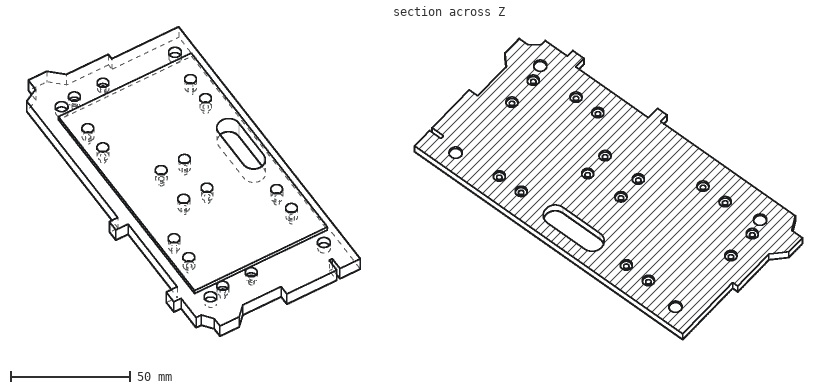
import cadquery as cq

length = 154.3
width = 79.3
plate_thickness = 7.0

pad_height = 2.0
pad_left, pad_right = 24.7, 134.0
pad_front, pad_back = 10.3, 75.6
pad_top = plate_thickness + pad_height

front_edge = 4.2
recess_edge = 6.0
left_tab_start, left_tab_end = 82.4, 87.7
right_tab_start, right_tab_end = 127.0, 133.2
right_tab_front = 0.6

left_upper_edge = 8.5
left_lower_edge = 5.7
left_step_y = 46.5
left_slope_y = 26.0
left_ear_front = 10.6
left_ear_inner = 5.9
left_front_corner = 9.3

ear_back = 19.8
right_recess_edge = 149.7
right_recess_front, right_recess_back = 24.4, 43.2
right_ear_front = 10.3
right_ear_inner = right_recess_edge
right_front_corner = 145.2
right_slope_front = 6.8

notch_depth = 6.2
notch_front, notch_back = 67.8, 69.3

slot_length = 30.0
slot_width = 9.9
slot_center = (77.0, 68.0)

screw_diameter = 2.3
counterbore_diameter = 5.0
screw_floor = 3.4
pad_corner_columns = (36.4, 48.5, 105.5, 117.5)
pad_corner_rows = (17.6, 68.0)
pad_middle_columns = (71.6, 89.7)
pad_middle_rows = (32.1, 43.5)
side_columns = (17.6, 136.6)
side_rows = (22.5, 36.5)

blind_diameter = 5.4
blind_floor = 3.4
blind_columns = (19.5, 138.9)
blind_rows = (15.1, 70.8)


def grid(columns, rows):
    """Every combination of a column position and a row position."""
    return [(x, y) for x in columns for y in rows]


def round_cutter(points, diameter, bottom, top):
    """Upright cylinders at the given points between two heights."""
    return (
        cq.Workplane("XY", origin=(0, 0, bottom))
        .pushPoints(points)
        .circle(diameter / 2)
        .extrude(top - bottom)
    )


def make_plate():
    """Flat plate with its stepped outline, tabs and corner ears."""
    outline = [
        (left_upper_edge, width),
        (left_upper_edge, left_step_y),
        (left_lower_edge, left_step_y),
        (left_lower_edge, left_slope_y),
        (0, ear_back),
        (0, left_ear_front),
        (left_ear_inner, left_ear_front),
        (left_front_corner, front_edge),
        (left_tab_start, front_edge),
        (left_tab_start, 0),
        (left_tab_end, 0),
        (left_tab_end, recess_edge),
        (right_tab_start, recess_edge),
        (right_tab_start, right_tab_front),
        (right_tab_end, right_tab_front),
        (right_tab_end, front_edge),
        (right_front_corner, front_edge),
        (right_front_corner, right_slope_front),
        (right_ear_inner, right_ear_front),
        (length, right_ear_front),
        (length, ear_back),
        (right_recess_edge, right_recess_front),
        (right_recess_edge, right_recess_back),
        (length, right_recess_back),
        (length, notch_front),
        (length - notch_depth, notch_front),
        (length - notch_depth, notch_back),
        (length, notch_back),
        (length, width),
    ]
    return cq.Workplane("XY").polyline(outline).close().extrude(plate_thickness)


def make_pad():
    """Rectangular pad; it starts at the underside so that it merges with the plate."""
    return cq.Workplane("XY").box(
        pad_right - pad_left, pad_back - pad_front, pad_top, centered=False
    ).translate((pad_left, pad_front, 0))


def make_slot():
    """Cutter for the handle slot."""
    return cq.Workplane("XY").center(*slot_center).slot2D(slot_length, slot_width).extrude(pad_top)


def make_screw_holes(points, top):
    """Cutter for counterbored through holes entered from the given surface height."""
    shanks = round_cutter(points, screw_diameter, 0, top)
    heads = round_cutter(points, counterbore_diameter, screw_floor, top)
    return shanks.union(heads)


pad_screws = grid(pad_corner_columns, pad_corner_rows) + grid(pad_middle_columns, pad_middle_rows)
side_screws = grid(side_columns, side_rows)
blind_holes = grid(blind_columns, blind_rows)

result = (
    make_plate()
    .union(make_pad())
    .cut(make_slot())
    .cut(make_screw_holes(pad_screws, pad_top))
    .cut(make_screw_holes(side_screws, plate_thickness))
    .cut(round_cutter(blind_holes, blind_diameter, blind_floor, plate_thickness))
)